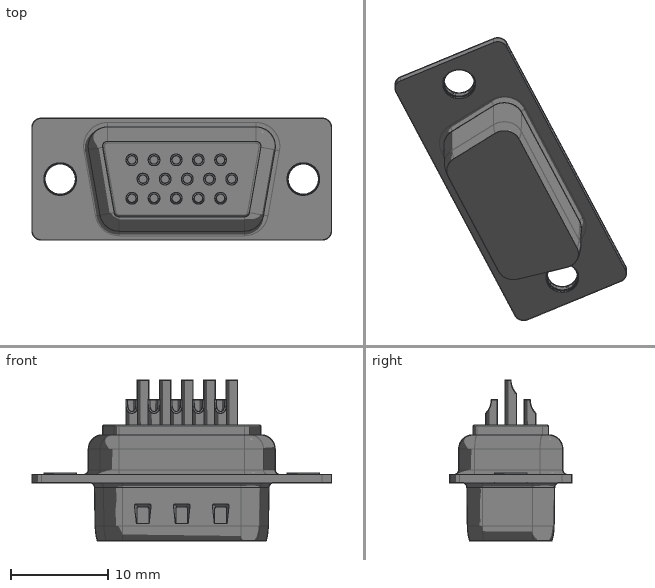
import cadquery as cq
import math

overall_height = 16.5

flange_length = 30.8
flange_width = 12.55
flange_thickness = 0.85
flange_corner_radius = 1.0
hole_spacing = 25.0
hole_diameter = 3.1
collar_diameter = 3.35
collar_height = 0.15
hole_recess_depth = 0.3
foot_radius = 0.45

flank_angle = 10

rear_half_depth = 5.35
rear_corner_radius = 2.0
rear_centre_half_width = 7.02
rear_top = 4.93
insert_corner_radius = 0.52
insert_top = 5.95
insert_edge_radius = 0.2
rear_edge_radius = rear_corner_radius - insert_corner_radius

plug_half_depth = 4.53
plug_corner_radius = 1.97
plug_centre_half_width = 6.55
plug_length = 5.98
plug_nose_length = 1.5
plug_draft = 0.05
plug_nose_inset = 0.3
plug_nose_mid_inset = plug_draft + (plug_nose_inset - plug_draft) / 4
plug_core_radius = 0.92

dimple_count = 3
dimple_pitch = 4.0
dimple_top = -2.15
dimple_bottom = -4.2
dimple_top_width = 1.82
dimple_bottom_width = 1.45
dimple_floor_width = 1.23
dimple_shoulder = 0.3
dimple_depth = 0.25
dimple_bottom_depth = 0.1
dimple_corner_radius = 0.3

pins_per_row = 5
pin_pitch = 2.28
pin_row_pitch = 1.97
pin_stagger = pin_pitch / 4
pin_diameter = 1.2
pin_bore_diameter = 0.85
pin_bore_depth = 1.55
short_pin_top = 8.53
tall_pin_top = overall_height - plug_length
cup_cut_radius = 2.0
cup_rim_offset = 0.03


def d_outline(z, half_depth, corner_radius, centre_half_width):
    """Closed D outline at height z, wide side toward +Y, starting at the middle of the -Y side."""
    centre_y = half_depth - corner_radius
    lean = centre_y * math.tan(math.radians(flank_angle))
    narrow_x = centre_half_width - lean
    wide_x = centre_half_width + lean

    def on_corner(side, centre_x, y, degrees):
        angle = math.radians(degrees)
        return (
            side * (centre_x + corner_radius * math.cos(angle)),
            y + corner_radius * math.sin(angle),
        )

    narrow_mid = (-90 - flank_angle) / 2
    wide_mid = (90 - flank_angle) / 2
    return (
        cq.Workplane("XY", origin=(0, 0, z))
        .moveTo(0, -half_depth)
        .lineTo(narrow_x, -half_depth)
        .threePointArc(
            on_corner(1, narrow_x, -centre_y, narrow_mid),
            on_corner(1, narrow_x, -centre_y, -flank_angle),
        )
        .lineTo(*on_corner(1, wide_x, centre_y, -flank_angle))
        .threePointArc(on_corner(1, wide_x, centre_y, wide_mid), (wide_x, half_depth))
        .lineTo(-wide_x, half_depth)
        .threePointArc(
            on_corner(-1, wide_x, centre_y, wide_mid),
            on_corner(-1, wide_x, centre_y, -flank_angle),
        )
        .lineTo(*on_corner(-1, narrow_x, -centre_y, -flank_angle))
        .threePointArc(
            on_corner(-1, narrow_x, -centre_y, narrow_mid),
            (-narrow_x, -half_depth),
        )
        .close()
    )


def make_flange():
    hole_centres = [(-hole_spacing / 2, 0), (hole_spacing / 2, 0)]
    plate = (
        cq.Workplane("XY")
        .rect(flange_length, flange_width)
        .extrude(flange_thickness)
        .edges("|Z")
        .fillet(flange_corner_radius)
    )
    collars = cq.Workplane("XY").pushPoints(hole_centres).circle(collar_diameter / 2)
    holes = cq.Workplane("XY").pushPoints(hole_centres).circle(hole_diameter / 2)
    recesses = cq.Workplane("XY").pushPoints(hole_centres).circle(collar_diameter / 2)
    collar_top = flange_thickness + collar_height
    return (
        plate.union(collars.extrude(collar_top))
        .cut(holes.extrude(collar_top))
        .cut(recesses.extrude(hole_recess_depth))
    )


def make_foot(z, direction, half_depth, corner_radius, centre_half_width):
    """Concave fillet around a housing, rising from the flange face at z."""
    wall = -half_depth
    tip_z = z + direction * foot_radius
    bulge = foot_radius * (1 - math.sqrt(0.5))
    overlap = foot_radius / 2
    profile = (
        cq.Workplane("YZ")
        .moveTo(wall - foot_radius, z)
        .threePointArc((wall - bulge, z + direction * bulge), (wall, tip_z))
        .lineTo(wall + overlap, tip_z)
        .lineTo(wall + overlap, z - direction * overlap)
        .lineTo(wall - foot_radius, z - direction * overlap)
        .close()
    )
    return profile.sweep(d_outline(z, half_depth, corner_radius, centre_half_width))


def make_rear_housing():
    rear_shape = (rear_half_depth, rear_corner_radius, rear_centre_half_width)
    shell = d_outline(0, *rear_shape).extrude(rear_top).faces(">Z").edges().fillet(rear_edge_radius)
    insert = (
        d_outline(0, rear_half_depth - rear_edge_radius, insert_corner_radius, rear_centre_half_width)
        .extrude(insert_top)
        .faces(">Z")
        .edges()
        .fillet(insert_edge_radius)
    )
    return shell.union(insert).union(make_foot(flange_thickness, 1, *rear_shape))


def make_plug():
    """Solid plug: a plain core wrapped by a drafted wall with a rounded nose."""
    plug_shape = (plug_half_depth, plug_corner_radius, plug_centre_half_width)
    core_half_depth = plug_half_depth - plug_corner_radius + plug_core_radius
    core = d_outline(-plug_length, core_half_depth, plug_core_radius, plug_centre_half_width)
    core = core.extrude(plug_length)
    wall = -plug_half_depth
    inner = -core_half_depth + plug_core_radius / 4
    nose_z = plug_nose_length - plug_length
    band = (
        cq.Workplane("YZ")
        .moveTo(inner, 0)
        .lineTo(wall, 0)
        .lineTo(wall + plug_draft, nose_z)
        .threePointArc(
            (wall + plug_nose_mid_inset, nose_z - plug_nose_length / 2),
            (wall + plug_nose_inset, -plug_length),
        )
        .lineTo(inner, -plug_length)
        .close()
        .sweep(d_outline(0, *plug_shape))
    )
    return core.union(band).union(make_foot(0, -1, *plug_shape))


def make_dimple(x):
    """Wedge cutter, deepest under its sloping top wall and running out downward."""
    mouth_y = -plug_half_depth
    half_top = dimple_top_width / 2
    half_bottom = dimple_bottom_width / 2
    half_floor = dimple_floor_width / 2
    floor_top = dimple_top - dimple_shoulder
    deep_y = mouth_y + dimple_depth
    shallow_y = mouth_y + dimple_bottom_depth
    mouth = [
        (x - half_top, mouth_y, dimple_top),
        (x + half_top, mouth_y, dimple_top),
        (x + half_bottom, mouth_y, dimple_bottom),
        (x - half_bottom, mouth_y, dimple_bottom),
    ]
    floor = [
        (x - half_floor, deep_y, floor_top),
        (x + half_floor, deep_y, floor_top),
        (x + half_floor, shallow_y, dimple_bottom),
        (x - half_floor, shallow_y, dimple_bottom),
    ]
    rings = [
        cq.Wire.makePolygon([cq.Vector(*point) for point in ring], close=True)
        for ring in (mouth, floor)
    ]
    wedge = cq.Workplane(obj=cq.Solid.makeLoft(rings, True))
    for outer, inner in zip(mouth[:2], floor[:2]):
        edge_middle = tuple((a + b) / 2 for a, b in zip(outer, inner))
        top_corner = cq.selectors.NearestToPointSelector(edge_middle)
        wedge = wedge.edges(top_corner).fillet(dimple_corner_radius)
    return wedge


def make_pin_row(y, first_x, top, open_side):
    """Row of solder-cup pins, each scooped open toward open_side (+1 or -1) along Y."""
    centres = [(first_x + i * pin_pitch, y) for i in range(pins_per_row)]
    base = cq.Workplane("XY", origin=(0, 0, rear_top)).pushPoints(centres)
    pins = base.circle(pin_diameter / 2).extrude(top - rear_top)
    bores = (
        cq.Workplane("XY", origin=(0, 0, top - pin_bore_depth))
        .pushPoints(centres)
        .circle(pin_bore_diameter / 2)
        .extrude(pin_bore_depth)
    )
    scoop = (
        cq.Workplane("YZ")
        .center(y + open_side * (cup_rim_offset + cup_cut_radius), top)
        .circle(cup_cut_radius)
        .extrude(flange_length / 2, both=True)
    )
    return pins.cut(bores).cut(scoop)


result = make_flange().union(make_rear_housing()).union(make_plug())

for i in range(dimple_count):
    result = result.cut(make_dimple((i - (dimple_count - 1) / 2) * dimple_pitch))

row_half_length = (pins_per_row - 1) / 2 * pin_pitch
outer_first_x = -row_half_length - pin_stagger
middle_first_x = -row_half_length + pin_stagger
result = result.union(make_pin_row(pin_row_pitch, outer_first_x, short_pin_top, 1))
result = result.union(make_pin_row(0, middle_first_x, tall_pin_top, 1))
result = result.union(make_pin_row(-pin_row_pitch, outer_first_x, short_pin_top, -1))